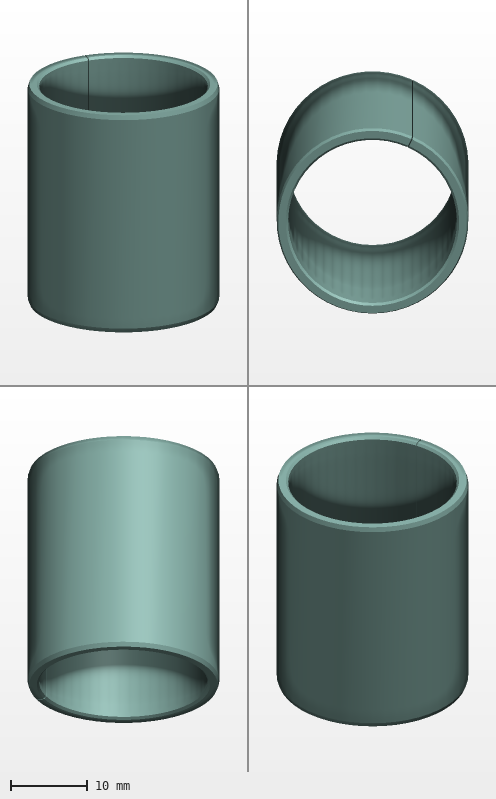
import cadquery as cq
import math

length = 30.0
outer_diameter = 25.0
wall = 1.5
outer_radius = outer_diameter / 2
inner_radius = outer_radius - wall

outer_chamfer_height = 0.6
outer_chamfer_angle = 20.0
outer_chamfer_width = outer_chamfer_height * math.tan(math.radians(outer_chamfer_angle))
inner_chamfer = 0.3

joint_angle = 0.7


def wall_section():
    """Section of the wall on the -X side, chamfered at all four corners."""
    outer_end_radius = outer_radius - outer_chamfer_width
    inner_end_radius = inner_radius + inner_chamfer
    points = [
        (-inner_radius, inner_chamfer),
        (-inner_end_radius, 0),
        (-outer_end_radius, 0),
        (-outer_radius, outer_chamfer_height),
        (-outer_radius, length - outer_chamfer_height),
        (-outer_end_radius, length),
        (-inner_end_radius, length),
        (-inner_radius, length - inner_chamfer),
    ]
    return cq.Workplane("XZ").polyline(points).close()


result = wall_section().revolve(360 - joint_angle, (0, 0), (0, 1))